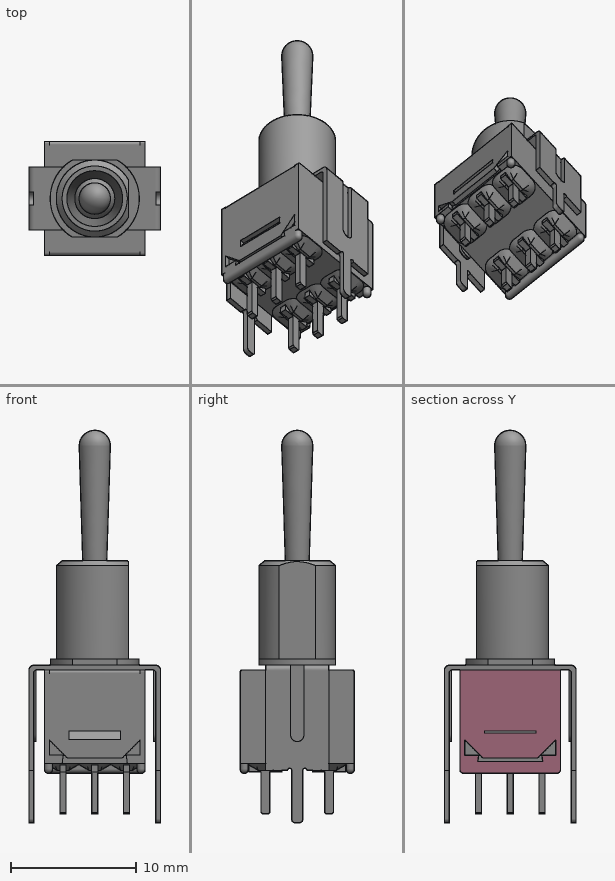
import cadquery as cq
import math


housing_width = 8.07
housing_depth = 9.15
housing_bottom = 4.77
housing_top = 12.25
flap_edge_radius = 0.28
wall_edge_radius = 0.2
sheet = 0.4

flap_half_width = housing_width / 2 - sheet
flap_bottom = 5.18
flap_corner_cut = 1.45
lip_top = 5.43
lip_end_upper = 2.5
lip_end_lower = 2.6
latch_half_width = 2.05
latch_bottom = 6.65
latch_top = 7.35

standoff_diameter = 0.65
standoff_radius = standoff_diameter / 2
standoff_bottom = 3.95
standoff_x = housing_width / 2 - standoff_radius
standoff_y = housing_depth / 2 - standoff_radius

pin_pitch = 2.55
pin_width = 0.5
pin_depth = 0.72
pin_bottom = 0.72
pin_tip_chamfer = 0.13
foot_length = 2.65
foot_bottom = 4.08
resin_bottom = 4.2
resin_bottom_margin = 0.22
resin_taper = 60

bracket_width = 10.55
bracket_depth = 5.05
bracket_top = housing_top + 0.38
bend_outer_radius = 0.45
bend_inner_radius = 0.25
leg_bottom = 4.2
leg_pin_width = 0.9
leg_pin_tip_radius = 0.3
relief_radius = 0.15
groove_width = 1.07
groove_bottom = 6.5
groove_depth = 0.38
rib_height = 0.2

washer_diameter = 7.13
washer_top = 13.12
bushing_radius = 3.08
bushing_top = 20.97
bushing_chamfer_height = 0.4
bushing_rim_radius = 2.6
bushing_flat_x = 2.7
bore_top_radius = 2.23
bore_bottom_radius = 1.6
bore_bottom = 14.45

lever_top = 31.4
lever_tip_radius = 1.25
lever_neck_radius = 0.97
pivot_drop = 0.63

overlap = 0.15


def block(x_range, y_range, z_range):
    """Box between two limits on each axis."""
    (x0, x1), (y0, y1), (z0, z1) = x_range, y_range, z_range
    return cq.Workplane("XY").box(x1 - x0, y1 - y0, z1 - z0, centered=False).translate((x0, y0, z0))


def make_face_cut():
    """Openings in the front face: cut flap corners, gap under the flap and sloped latch notch."""
    front = -housing_depth / 2
    inner_x = flap_half_width - flap_corner_cut
    right_side = [
        (inner_x, flap_bottom),
        (flap_half_width, flap_bottom + flap_corner_cut),
        (flap_half_width, lip_top),
        (lip_end_upper, lip_top),
        (lip_end_lower, housing_bottom),
    ]
    left_side = [(-x, z) for x, z in reversed(right_side)]
    gap = (
        cq.Workplane("XZ", origin=(0, front, 0))
        .polyline(right_side + left_side).close()
        .extrude(-sheet)
    )
    latch = (
        cq.Workplane("YZ", origin=(-latch_half_width, 0, 0))
        .polyline([(front, latch_bottom), (front, latch_top), (front + sheet, latch_top)]).close()
        .extrude(2 * latch_half_width)
    )
    return gap.union(latch)


def housing_block(width, edge_radius):
    """Full-depth block of the housing with rounded front and rear top edges."""
    return (
        cq.Workplane("XY", origin=(0, 0, housing_bottom))
        .rect(width, housing_depth)
        .extrude(housing_top - housing_bottom)
        .edges(">Z and |X").fillet(edge_radius)
    )


def make_housing():
    """Core with the flaps, between side walls whose top edges are less rounded."""
    core = housing_block(2 * flap_half_width, flap_edge_radius)
    core_space = block(
        (-flap_half_width, flap_half_width),
        (-housing_depth / 2, housing_depth / 2),
        (housing_bottom, housing_top),
    )
    side_walls = housing_block(housing_width, wall_edge_radius).cut(core_space)
    face_cut = make_face_cut()
    return side_walls.union(core).cut(face_cut).cut(face_cut.mirror("XZ"))


def make_standoffs():
    """Four round-ended studs, with a round-bottomed rail joining the rear pair."""
    centre_z = standoff_bottom + standoff_radius
    stud_height = housing_bottom + overlap - centre_z
    corners = [(sx * standoff_x, sy * standoff_y) for sx in (-1, 1) for sy in (-1, 1)]
    studs = cq.Workplane("XY", origin=(0, 0, centre_z)).pushPoints(corners)
    all_studs = studs.circle(standoff_radius).extrude(stud_height).union(studs.sphere(standoff_radius))
    rail = (
        cq.Workplane("YZ", origin=(-standoff_x, standoff_y, centre_z))
        .moveTo(-standoff_radius, stud_height)
        .lineTo(-standoff_radius, 0)
        .threePointArc((0, -standoff_radius), (standoff_radius, 0))
        .lineTo(standoff_radius, stud_height)
        .close()
        .extrude(2 * standoff_x)
    )
    return all_studs.union(rail)


def make_terminal():
    """One pin of the front row at x = 0, with its foot and the resin around its root."""
    root = housing_bottom + overlap
    half_width = pin_width / 2
    pin = (
        block(
            (-half_width, half_width),
            (-pin_pitch - pin_depth / 2, -pin_pitch + pin_depth / 2),
            (pin_bottom, root),
        )
        .edges("<Z and |X").chamfer(pin_tip_chamfer)
    )
    foot = block(
        (-half_width, half_width),
        (-pin_pitch - foot_length / 2, -pin_pitch + foot_length / 2),
        (foot_bottom, root),
    )
    resin = (
        cq.Workplane("XY", origin=(0, -pin_pitch, resin_bottom))
        .rect(pin_width + 2 * resin_bottom_margin, pin_depth + 2 * resin_bottom_margin)
        .extrude(housing_bottom - resin_bottom, taper=-resin_taper)
    )
    return pin.union(foot).union(resin)


def make_terminals():
    row = cq.Workplane("XY")
    terminal = make_terminal()
    for column in (-1, 0, 1):
        row = row.union(terminal.translate((column * pin_pitch, 0, 0)))
    return row.union(row.mirror("XZ"))


def groove_shape(x_start, thickness, top):
    """Round-bottomed vertical strip, open at the top, used for the leg groove and the rib behind it."""
    radius = groove_width / 2
    return (
        cq.Workplane("YZ", origin=(x_start, 0, 0))
        .moveTo(-radius, top)
        .lineTo(-radius, groove_bottom + radius)
        .threePointArc((0, groove_bottom), (radius, groove_bottom + radius))
        .lineTo(radius, top)
        .close()
        .extrude(thickness)
    )


def make_strap():
    """Sheet bent into an inverted U, with relief notches beside the two leg pins."""
    outer = bracket_width / 2
    inner = outer - sheet
    half_depth = bracket_depth / 2
    opening = (
        block((-inner, inner), (-half_depth, half_depth), (leg_bottom, housing_top))
        .edges(">Z and |Y").fillet(bend_inner_radius)
    )
    reliefs = (
        cq.Workplane("YZ", origin=(-outer, 0, leg_bottom))
        .pushPoints([(side * (leg_pin_width / 2 + relief_radius), 0) for side in (-1, 1)])
        .circle(relief_radius)
        .extrude(bracket_width)
    )
    return (
        block((-outer, outer), (-half_depth, half_depth), (leg_bottom, bracket_top))
        .edges(">Z and |Y").fillet(bend_outer_radius)
        .cut(opening)
        .cut(reliefs)
    )


def make_bracket():
    """Strap with a pin, a pressed groove and the matching inner rib on each leg."""
    outer = bracket_width / 2
    inner = outer - sheet
    leg_pin = (
        block(
            (inner, outer),
            (-leg_pin_width / 2, leg_pin_width / 2),
            (0, leg_bottom + overlap),
        )
        .edges("<Z and |X").fillet(leg_pin_tip_radius)
    )
    rib = groove_shape(inner - rib_height, rib_height + overlap / 2, housing_top)
    groove = groove_shape(outer - groove_depth, groove_depth, bracket_top)
    additions = leg_pin.union(rib)
    strap = make_strap().union(additions).union(additions.mirror("YZ"))
    return strap.cut(groove).cut(groove.mirror("YZ"))


def make_bushing():
    """Washer with two flats, and a chamfered bushing with one flat on +X and a conical bore."""
    washer = (
        cq.Workplane("XY", origin=(0, 0, bracket_top))
        .circle(washer_diameter / 2)
        .extrude(washer_top - bracket_top)
        .intersect(block(
            (-washer_diameter, washer_diameter),
            (-bushing_radius, bushing_radius),
            (bracket_top, washer_top),
        ))
    )
    sleeve = (
        cq.Workplane("XZ")
        .polyline([
            (0, bracket_top),
            (bushing_radius, bracket_top),
            (bushing_radius, bushing_top - bushing_chamfer_height),
            (bushing_rim_radius, bushing_top),
            (bore_top_radius, bushing_top),
            (bore_bottom_radius, bore_bottom),
            (0, bore_bottom),
        ])
        .close()
        .revolve(360, (0, 0, 0), (0, 1, 0))
    )
    flat = block(
        (bushing_flat_x, bushing_radius),
        (-bushing_radius, bushing_radius),
        (washer_top, bushing_top),
    )
    return sleeve.cut(flat).union(washer)


def make_lever():
    """Tapered lever with a round tip, rising from a pivot ball at the bottom of the bore."""
    tip_centre = lever_top - lever_tip_radius
    slope = (lever_tip_radius - lever_neck_radius) / (tip_centre - bushing_top)
    root_radius = lever_neck_radius - slope * (bushing_top - bore_bottom)
    half_root = lever_tip_radius * math.sqrt(0.5)
    stem = (
        cq.Workplane("XZ")
        .moveTo(0, bore_bottom)
        .lineTo(root_radius, bore_bottom)
        .lineTo(lever_tip_radius, tip_centre)
        .threePointArc((half_root, tip_centre + half_root), (0, lever_top))
        .close()
        .revolve(360, (0, 0, 0), (0, 1, 0))
    )
    pivot_radius = math.hypot(bore_bottom_radius, pivot_drop)
    pivot = cq.Workplane("XY", origin=(0, 0, bore_bottom - pivot_drop)).sphere(pivot_radius)
    return stem.union(pivot)


result = (
    make_housing()
    .union(make_standoffs())
    .union(make_terminals())
    .union(make_bracket())
    .union(make_bushing())
    .union(make_lever())
)